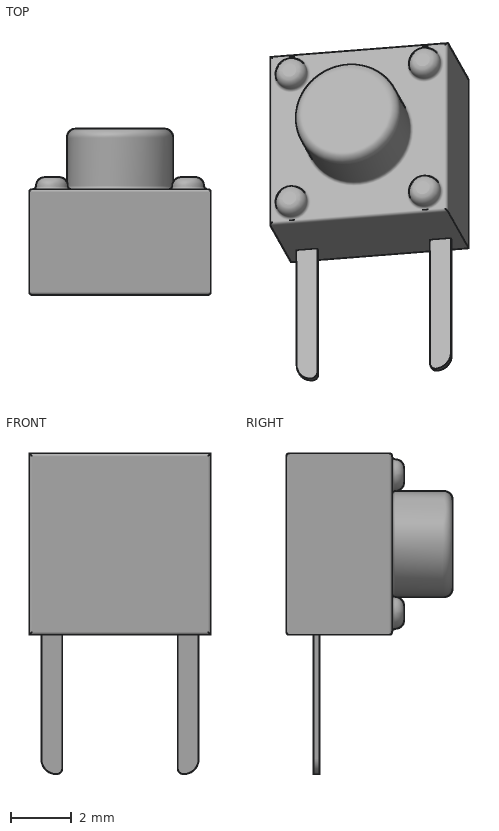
import cadquery as cq

housing_side = 6.0
housing_depth = 3.5
housing_edge_radius = 0.1

blend_radius = 0.1

button_diameter = 3.52
button_height = 2.0
button_edge_radius = 0.3
button_straight = button_height - button_edge_radius - blend_radius

rivet_diameter = 1.06
rivet_edge_radius = 0.3
rivet_straight = 0
rivet_spacing_x = 4.5
rivet_spacing_z = 4.55

stud_root = 0.5

leg_outer_x = 2.6
leg_width = 0.7
leg_thickness = 0.2
leg_length = 4.6
leg_front_y = 0.9
leg_outer_radius = 0.5
leg_inner_radius = leg_width - leg_outer_radius


def make_housing():
    """Square block, rounded around its two square faces."""
    block = cq.Workplane("XY").box(housing_side, housing_depth, housing_side, centered=(True, False, True))
    return block.faces("<Y or >Y").fillet(housing_edge_radius)


def make_leg(side):
    """Flat leg on the given side (-1 or +1); its tip is rounded more on the outer corner."""
    top_z = -housing_side / 2
    tip_z = top_z - leg_length
    outer_x = side * leg_outer_x
    inner_x = side * (leg_outer_x - leg_width)
    tip_x = inner_x + side * leg_inner_radius
    outline = (
        cq.Workplane("XZ", origin=(0, leg_front_y, 0))
        .moveTo(outer_x, top_z)
        .lineTo(outer_x, tip_z + leg_outer_radius)
        .radiusArc((tip_x, tip_z), side * leg_outer_radius)
        .radiusArc((inner_x, tip_z + leg_inner_radius), side * leg_inner_radius)
        .lineTo(inner_x, top_z)
        .close()
    )
    return outline.extrude(-leg_thickness)


def make_stud(x, z, diameter, straight, edge_radius):
    """Round stud on the +Y face: concave blend at its foot, straight wall, rounded free edge."""
    radius = diameter / 2
    foot_radius = radius + blend_radius
    wall_top = blend_radius + straight
    height = wall_top + edge_radius
    profile = (
        cq.Workplane("XY")
        .moveTo(0, -stud_root)
        .lineTo(foot_radius, -stud_root)
        .lineTo(foot_radius, 0)
        .radiusArc((radius, blend_radius), blend_radius)
    )
    if straight > 0:
        profile = profile.lineTo(radius, wall_top)
    profile = profile.radiusArc((radius - edge_radius, height), -edge_radius).lineTo(0, height).close()
    stud = profile.revolve(360, (0, 0), (0, 1))
    return stud.translate((x, housing_depth, z))


result = make_housing()
result = result.union(make_stud(0, 0, button_diameter, button_straight, button_edge_radius))
for side_x in (-1, 1):
    for side_z in (-1, 1):
        rivet_x = side_x * rivet_spacing_x / 2
        rivet_z = side_z * rivet_spacing_z / 2
        rivet = make_stud(rivet_x, rivet_z, rivet_diameter, rivet_straight, rivet_edge_radius)
        result = result.union(rivet)
    result = result.union(make_leg(side_x))